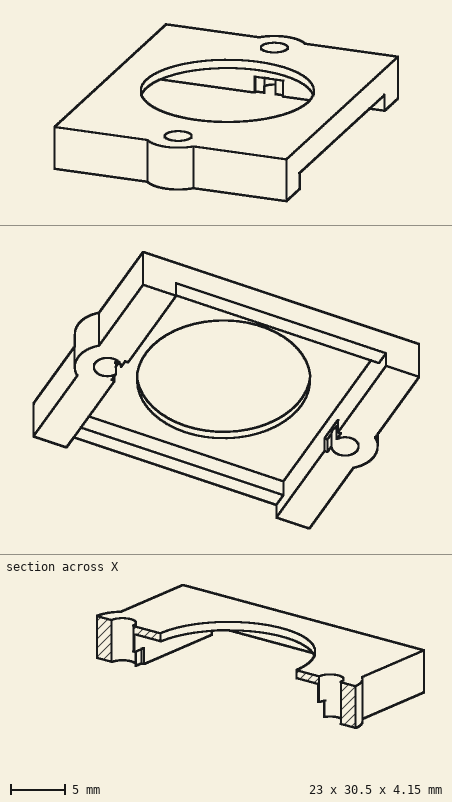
import cadquery as cq

width = 23.0
length = 28.43
height = 4.15

overall_length = 30.5
ear_radius = 3.02
screw_diameter = 2.5
screw_y = overall_length / 2 - ear_radius

window_diameter = 16.0
window_y = 0.27
lip_thickness = 0.82

channel_length = 21.6
channel_depth = 1.6

side_wall = 1.5
pocket_width = width - 2 * side_wall
pocket_length = channel_length

notch_width = 2.8
notch_depth = 0.3

screw_points = [(0, -screw_y), (0, screw_y)]


def make_body():
    plate = cq.Workplane("XY").box(width, length, height, centered=(True, True, False))
    ears = cq.Workplane("XY").pushPoints(screw_points).circle(ear_radius).extrude(height)
    return plate.union(ears)


def make_channel():
    return cq.Workplane("XY").box(width, channel_length, channel_depth, centered=(True, True, False))


def make_pocket():
    return cq.Workplane("XY").box(
        pocket_width, pocket_length, height - lip_thickness, centered=(True, True, False)
    )


def make_foot_notches():
    return cq.Workplane("XY").box(
        notch_width, channel_length + 2 * notch_depth, channel_depth, centered=(True, True, False)
    )


def make_holes():
    screws = cq.Workplane("XY").pushPoints(screw_points).circle(screw_diameter / 2).extrude(height)
    window = cq.Workplane("XY").center(0, window_y).circle(window_diameter / 2).extrude(height)
    return screws.union(window)


result = (
    make_body()
    .cut(make_channel())
    .cut(make_pocket())
    .cut(make_foot_notches())
    .cut(make_holes())
)